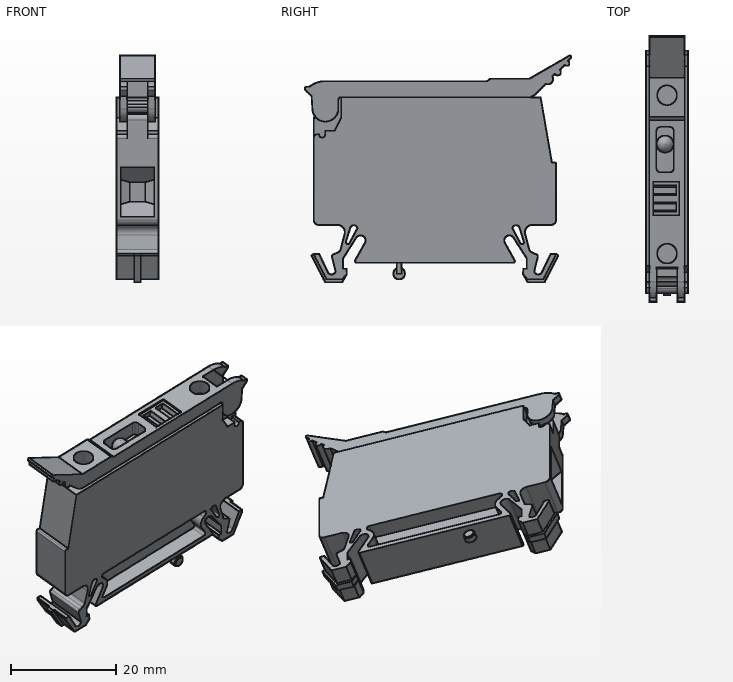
import cadquery as cq
import math


WIDTH = 8.0
HALF_LENGTH = 23.05
FLOOR_Z = 10.9
DECK_Z = 35.15
SHOULDER_Z = 22.8
SHOULDER_DEPTH = 0.8
DECK_BACK_Y = 20.1
BOTTOM_CORNER_RADIUS = 1.0
SHOULDER_RADIUS = 0.3

FOOT_TOP_Z = 12.15
RAIL_BOTTOM_Z = 3.7
RIB_WIDTH = 1.3
RIB_HEIGHT = 0.55

WINDOW_TOP_Z = 10.95
WINDOW_BOTTOM_Z = 4.75
WINDOW_DEPTH = 3.05

FUNNEL_Z = 17.2
FUNNEL_WIDTH = 6.45
FUNNEL_HEIGHT = 9.5
FUNNEL_BACK_WIDTH = 2.95
FUNNEL_BACK_HEIGHT = 3.7
FUNNEL_STRAIGHT_DEPTH = 2.85
FUNNEL_DEPTH = 3.45

LEVER_WIDTH = 6.7
FORK_GAP = 3.9
HINGE_Y = -20.85
HINGE_Z = 33.05
LEG_RADIUS = 2.5
WEB_TOP_Z = 31.9
WEB_FRONT_RADIUS = 1.0
FORK_BACK_Y = -18.15
CROSSBAR_BOTTOM_Z = 32.3

PIN_Y = -6.8
PIN_Z = 1.65
PIN_FACE_X = -3.75
PIN_LENGTH = 1.3
PIN_RADIUS = 1.1
PIN_CHAMFER = 0.2
STEM_RADIUS = 0.48

LEVER_TOP_Z = 38.25
HANDLE_TOP_Z = 38.7
TEST_HOLE_DIAMETER = 3.75
TEST_HOLE_YS = (14.6, -15.5)

LAMP_X = -0.35
LAMP_Y = 5.3
LAMP_DIAMETER = 3.25
LAMP_HEIGHT = 2.6
DOME_FLAT_RADIUS = 0.005
LAMP_SLOT_WIDTH = 3.3
LAMP_SLOT_LENGTH = 8.6
LAMP_SLOT_Y = 4.25
LAMP_SLOT_RADIUS = 0.75

POCKET_LEFT_X = -2.65
POCKET_WIDTH = 4.95
POCKET_LENGTH = 6.4
POCKET_Y = -5.05
POCKET_DEPTH = 0.3
GROOVE_LENGTH = 4.35
GROOVE_TOP_WIDTH = 1.9
GROOVE_FLOOR_WIDTH = 1.25
GROOVE_DEPTH = 1.0
GROOVE_YS = (-3.5, -6.65)


def side_plane(x):
    """Plane across X at x, with local coordinates (Y, Z) and extrusion toward +X."""
    return cq.Workplane("YZ", origin=(x, 0, 0))


def extrude_centred(outline, width):
    """Extrude an outline evenly to both sides of its plane."""
    return outline.extrude(width / 2, both=True)


def with_mirror(solid):
    """The solid together with its mirror image on the other side of Y = 0."""
    return solid.union(solid.mirror("XZ"))


def foot_half(width, rib_height):
    """Back half of the rail foot; its hook is larger on the outside by rib_height."""
    outline = (
        side_plane(0)
        .moveTo(0, FOOT_TOP_Z)
        .lineTo(18.7, FOOT_TOP_Z)
        .lineTo(18.7, FLOOR_Z)
        .threePointArc((17.6, 10.55), (17.25, 9.0))
        .lineTo(17.95, 6.3)
        .threePointArc((18.2, 5.9), (18.55, 5.7))
        .lineTo(19.2, 5.35)
        .threePointArc((19.5, 5.15), (19.55, 4.75))
        .lineTo(18.9, 2.1)
        .threePointArc((19.65, 1.5), (20.35, 2.05))
        .lineTo(22.0, 5.4)
        .lineTo(22.8 + rib_height / 2, 5.4)
        .lineTo(22.9 + rib_height, 5.05)
        .lineTo(20.55 + rib_height / 2, RIB_HEIGHT - rib_height)
        .lineTo(17.65, RIB_HEIGHT - rib_height)
        .lineTo(16.7, 1.55)
        .lineTo(16.75, 2.6)
        .lineTo(17.45, 2.65)
        .lineTo(17.45, 4.55)
        .lineTo(14.95, 8.45)
        .threePointArc((14.15, 8.9), (13.35, 7.5))
        .lineTo(15.25, 4.05)
        .lineTo(15.0, RAIL_BOTTOM_Z)
        .lineTo(0, RAIL_BOTTOM_Z)
        .close()
    )
    return extrude_centred(outline, width)


def leg_opening():
    """Rounded triangular opening that lets the leg flex."""
    outline = (
        side_plane(0)
        .moveTo(16.05, 10.4)
        .threePointArc((15.5, 10.85), (14.75, 10.3))
        .lineTo(16.2, 7.55)
        .threePointArc((16.6, 7.3), (16.85, 7.75))
        .close()
    )
    return extrude_centred(outline, WIDTH)


def foot_window_half():
    """Back half of the blind window between the legs, open on the -X side."""
    return (
        side_plane(-WIDTH / 2)
        .moveTo(0, WINDOW_TOP_Z)
        .lineTo(13.0, WINDOW_TOP_Z)
        .threePointArc((13.5, 10.55), (13.35, 10.0))
        .lineTo(12.85, 9.55)
        .threePointArc((12.1, 8.05), (12.25, 7.2))
        .lineTo(13.2, 5.5)
        .threePointArc((13.3, 5.05), (12.85, WINDOW_BOTTOM_Z))
        .lineTo(0, WINDOW_BOTTOM_Z)
        .close()
        .extrude(WINDOW_DEPTH)
    )


def housing_block():
    """Main block with a sloping back end and a small rounded shoulder."""
    shoulder_y = HALF_LENGTH - SHOULDER_DEPTH
    outline = side_plane(0).polyline([
        (-HALF_LENGTH, FLOOR_Z),
        (HALF_LENGTH, FLOOR_Z),
        (HALF_LENGTH, SHOULDER_Z),
        (shoulder_y, SHOULDER_Z),
        (DECK_BACK_Y, DECK_Z),
        (-HALF_LENGTH, DECK_Z),
    ]).close()
    block = extrude_centred(outline, WIDTH)
    block = block.edges("|X and <Z").fillet(BOTTOM_CORNER_RADIUS)
    shoulder_edge = cq.selectors.NearestToPointSelector((0, HALF_LENGTH, SHOULDER_Z))
    return block.edges(shoulder_edge).fillet(SHOULDER_RADIUS)


def hinge_side_notch(start_x):
    """Stepped notch beside the web, where a lever leg swings; it starts at start_x."""
    return (
        side_plane(start_x)
        .moveTo(-17.8, DECK_Z)
        .lineTo(-17.8, 31.3)
        .lineTo(-19.05, 28.85)
        .lineTo(-20.9, 28.85)
        .lineTo(-20.9, 28.05)
        .threePointArc((-21.45, 27.5), (-22.0, 28.15))
        .lineTo(-22.35, 28.15)
        .threePointArc((-22.85, 27.9), (-HALF_LENGTH, 27.4))
        .lineTo(-HALF_LENGTH, DECK_Z)
        .close()
        .extrude((WIDTH - FORK_GAP) / 2)
    )


def hinge_web_cut():
    """Space above the web: a socket for the lever at the back and a rounded front edge."""
    front = -HALF_LENGTH
    corner = WEB_FRONT_RADIUS
    socket_drop = HINGE_Z - WEB_TOP_Z
    socket_end_y = HINGE_Y + math.sqrt(LEG_RADIUS**2 - socket_drop**2)
    outline = (
        side_plane(0)
        .moveTo(HINGE_Y + LEG_RADIUS, DECK_Z)
        .lineTo(HINGE_Y + LEG_RADIUS, HINGE_Z)
        .radiusArc((socket_end_y, WEB_TOP_Z), LEG_RADIUS)
        .lineTo(front + corner, WEB_TOP_Z)
        .radiusArc((front, WEB_TOP_Z - corner), -corner)
        .lineTo(front, DECK_Z)
        .close()
    )
    return extrude_centred(outline, FORK_GAP)


def wire_funnel():
    """Funnel with floor and ceiling sloping all the way and side walls closing at the end."""
    front = -HALF_LENGTH
    back = front + FUNNEL_DEPTH
    bend = front + FUNNEL_STRAIGHT_DEPTH
    side = side_plane(0).polyline([
        (front, FUNNEL_Z - FUNNEL_HEIGHT / 2),
        (back, FUNNEL_Z - FUNNEL_BACK_HEIGHT / 2),
        (back, FUNNEL_Z + FUNNEL_BACK_HEIGHT / 2),
        (front, FUNNEL_Z + FUNNEL_HEIGHT / 2),
    ]).close()
    plan = cq.Workplane("XY", origin=(0, 0, FUNNEL_Z)).polyline([
        (-FUNNEL_WIDTH / 2, front),
        (FUNNEL_WIDTH / 2, front),
        (FUNNEL_WIDTH / 2, bend),
        (FUNNEL_BACK_WIDTH / 2, back),
        (-FUNNEL_BACK_WIDTH / 2, back),
        (-FUNNEL_WIDTH / 2, bend),
    ]).close()
    return extrude_centred(side, FUNNEL_WIDTH).intersect(extrude_centred(plan, FUNNEL_HEIGHT))


def test_pin():
    """Short round head lying along X on a stem under the foot."""
    head = (
        side_plane(PIN_FACE_X)
        .center(PIN_Y, PIN_Z)
        .circle(PIN_RADIUS)
        .extrude(PIN_LENGTH)
        .faces("<X")
        .chamfer(PIN_CHAMFER)
    )
    stem = (
        cq.Workplane("XY", origin=(PIN_FACE_X + PIN_LENGTH, PIN_Y, PIN_Z))
        .circle(STEM_RADIUS)
        .extrude(RAIL_BOTTOM_Z - PIN_Z + STEM_RADIUS)
    )
    return head.union(stem)


def make_housing():
    foot = with_mirror(foot_half(WIDTH, 0).union(foot_half(RIB_WIDTH, RIB_HEIGHT)))
    housing = housing_block().union(foot)
    housing = housing.cut(with_mirror(foot_window_half()))
    opening = leg_opening()
    housing = housing.cut(opening).cut(opening.mirror("XZ"))
    for start_x in (-WIDTH / 2, FORK_GAP / 2):
        housing = housing.cut(hinge_side_notch(start_x))
    housing = housing.cut(hinge_web_cut()).cut(wire_funnel())
    return housing.union(test_pin())


def lever_blank():
    """Full-width lever: handle with grip ridges, flat bar and hinge leg."""
    leg_back_y = HINGE_Y + LEG_RADIUS
    outline = (
        side_plane(0)
        .moveTo(25.6, 43.1)
        .lineTo(17.95, HANDLE_TOP_Z)
        .lineTo(10.55, HANDLE_TOP_Z)
        .lineTo(9.9, LEVER_TOP_Z)
        .lineTo(-20.9, LEVER_TOP_Z)
        .threePointArc((-22.55, 37.95), (-23.85, 37.2))
        .lineTo(-24.5, 37.2)
        .threePointArc((-24.75, 36.9), (-24.65, 36.55))
        .lineTo(-23.45, 35.4)
        .lineTo(HINGE_Y - LEG_RADIUS, HINGE_Z)
        .threePointArc((HINGE_Y, HINGE_Z - LEG_RADIUS), (leg_back_y, HINGE_Z))
        .lineTo(leg_back_y, DECK_Z - 0.4)
        .lineTo(leg_back_y + 0.25, DECK_Z)
        .lineTo(18.2, DECK_Z)
        .lineTo(19.0, 35.6)
        .lineTo(21.1, 37.7)
        .threePointArc((22.15, 37.9), (22.35, 39.15))
        .lineTo(22.8, 39.6)
        .threePointArc((23.75, 39.45), (23.75, 40.4))
        .lineTo(24.7, 41.3)
        .threePointArc((25.45, 41.3), (25.3, 42.1))
        .lineTo(25.85, 42.6)
        .threePointArc((25.9, 42.9), (25.6, 43.1))
        .close()
    )
    return extrude_centred(outline, LEVER_WIDTH)


def fork_gap():
    """Gap between the two lever legs, leaving the crossbar that joins them at the hinge."""
    front_y = HINGE_Y - 2 * LEG_RADIUS
    bottom_z = HINGE_Z - LEG_RADIUS
    outline = (
        side_plane(0)
        .moveTo(FORK_BACK_Y, LEVER_TOP_Z)
        .lineTo(FORK_BACK_Y, 34.5)
        .lineTo(-19.85, 34.5)
        .threePointArc((-20.25, 34.05), (-20.9, 33.85))
        .lineTo(-21.75, 33.3)
        .threePointArc((-21.5, 32.55), (HINGE_Y, CROSSBAR_BOTTOM_Z))
        .lineTo(FORK_BACK_Y, CROSSBAR_BOTTOM_Z)
        .lineTo(FORK_BACK_Y, bottom_z)
        .lineTo(front_y, bottom_z)
        .lineTo(front_y, LEVER_TOP_Z)
        .close()
    )
    return extrude_centred(outline, FORK_GAP)


def lamp_slot():
    """Rounded slot through the lever around the lamp."""
    return (
        cq.Workplane("XY", origin=(LAMP_X, LAMP_SLOT_Y, DECK_Z))
        .rect(LAMP_SLOT_WIDTH, LAMP_SLOT_LENGTH)
        .extrude(LEVER_TOP_Z - DECK_Z)
        .edges("|Z")
        .fillet(LAMP_SLOT_RADIUS)
    )


def label_pocket():
    """Shallow pocket with two grooves that narrow toward their floors."""
    floor_z = LEVER_TOP_Z - POCKET_DEPTH
    pocket = (
        cq.Workplane("XY", origin=(POCKET_LEFT_X + POCKET_WIDTH / 2, POCKET_Y, floor_z))
        .rect(POCKET_WIDTH, POCKET_LENGTH)
        .extrude(POCKET_DEPTH)
    )
    for groove_y in GROOVE_YS:
        groove = side_plane(POCKET_LEFT_X).polyline([
            (groove_y - GROOVE_TOP_WIDTH / 2, floor_z),
            (groove_y + GROOVE_TOP_WIDTH / 2, floor_z),
            (groove_y + GROOVE_FLOOR_WIDTH / 2, floor_z - GROOVE_DEPTH),
            (groove_y - GROOVE_FLOOR_WIDTH / 2, floor_z - GROOVE_DEPTH),
        ]).close().extrude(GROOVE_LENGTH)
        pocket = pocket.union(groove)
    return pocket


def make_lever():
    lever = lever_blank().cut(fork_gap())
    test_holes = (
        cq.Workplane("XY", origin=(0, 0, DECK_Z))
        .pushPoints([(0, y) for y in TEST_HOLE_YS])
        .circle(TEST_HOLE_DIAMETER / 2)
        .extrude(HANDLE_TOP_Z - DECK_Z)
    )
    return lever.cut(test_holes).cut(lamp_slot()).cut(label_pocket())


def make_lamp():
    """Round lamp with a domed top, standing on the housing deck."""
    return (
        cq.Workplane("XY", origin=(LAMP_X, LAMP_Y, DECK_Z))
        .circle(LAMP_DIAMETER / 2)
        .extrude(LAMP_HEIGHT)
        .faces(">Z")
        .edges()
        .fillet(LAMP_DIAMETER / 2 - DOME_FLAT_RADIUS)
    )


housing = make_housing()
lever = make_lever()
lamp = make_lamp()

result = cq.Compound.makeCompound([housing.val(), lever.val(), lamp.val()])